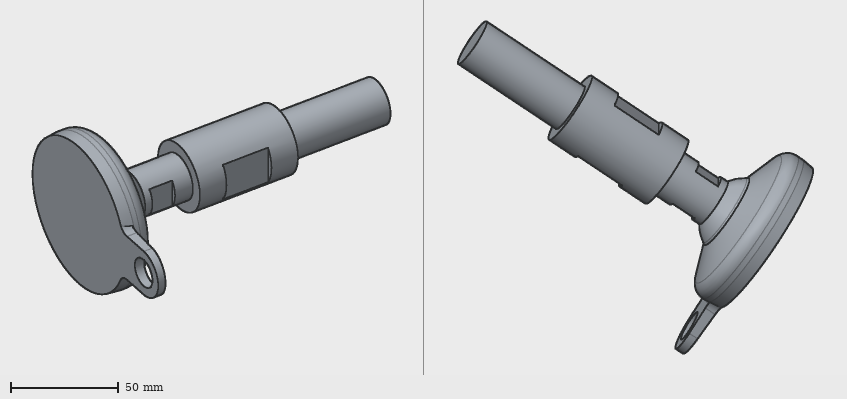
import cadquery as cq
import math

TOTAL_LENGTH = 166.5

FOOT_RADIUS = 40.0
SOLE_RADIUS = 39.3
TAPER_HEIGHT = 6.2
BAND_TOP = 9.0
SHOULDER_RADIUS = 7.0
SLOPE_ANGLE = 21.5
COLLAR_ROOT_RADIUS = 18.8

LUG_END_RADIUS = 12.5
LUG_REACH = 68.1
LUG_HOLE_DIAMETER = 15.0
LUG_ROOT_FILLET = 5.8
LUG_ROOT_HEIGHT = 5.7
LUG_TIP_HEIGHT = 4.2

STEM_DIAMETER = 24.0
COLLAR_TOP = 29.5
COLLAR_LIP_HEIGHT = 1.2
COLLAR_DOME_RADIUS = 18.0
COLLAR_BULGE = 0.5

SLEEVE_DIAMETER = 36.0
SLEEVE_START = 56.1
SLEEVE_LENGTH = 54.8

SLEEVE_FLAT_WIDTH = 30.0
SLEEVE_FLAT_LENGTH = 25.1
STEM_FLAT_WIDTH = 19.0
STEM_FLAT_START = 33.5
STEM_FLAT_LENGTH = 12.7

slope = math.radians(SLOPE_ANGLE)
shoulder_center = FOOT_RADIUS - SHOULDER_RADIUS


def shoulder_point(angle):
    """Point on the shoulder arc, with the angle measured from the outward radius."""
    return (
        shoulder_center + SHOULDER_RADIUS * math.cos(angle),
        BAND_TOP + SHOULDER_RADIUS * math.sin(angle),
    )


shoulder_sweep = math.pi / 2 - slope
shoulder_end = shoulder_point(shoulder_sweep)
collar_root_height = shoulder_end[1] + (shoulder_end[0] - COLLAR_ROOT_RADIUS) * math.tan(slope)


def make_foot_and_stem():
    stem_radius = STEM_DIAMETER / 2
    return (
        cq.Workplane("XY")
        .lineTo(SOLE_RADIUS, 0)
        .lineTo(FOOT_RADIUS, TAPER_HEIGHT)
        .lineTo(FOOT_RADIUS, BAND_TOP)
        .threePointArc(shoulder_point(shoulder_sweep / 2), shoulder_end)
        .lineTo(COLLAR_ROOT_RADIUS, collar_root_height)
        .lineTo(COLLAR_DOME_RADIUS, collar_root_height + COLLAR_LIP_HEIGHT)
        .sagittaArc((stem_radius, COLLAR_TOP), -COLLAR_BULGE)
        .lineTo(stem_radius, TOTAL_LENGTH)
        .lineTo(0, TOTAL_LENGTH)
        .close()
        .revolve(360, (0, 0, 0), (0, 1, 0))
    )


def make_lug():
    """Rounded lug with concave root fillets, thinning towards its tip."""
    eye_x = LUG_REACH - LUG_END_RADIUS
    fillet_z = LUG_END_RADIUS + LUG_ROOT_FILLET
    fillet_x = math.sqrt((SOLE_RADIUS + LUG_ROOT_FILLET) ** 2 - fillet_z ** 2)
    touch_angle = math.atan2(fillet_z, fillet_x)
    touch_x = SOLE_RADIUS * math.cos(touch_angle)
    touch_z = SOLE_RADIUS * math.sin(touch_angle)
    middle_angle = (touch_angle + math.pi / 2) / 2
    middle_x = fillet_x - LUG_ROOT_FILLET * math.cos(middle_angle)
    middle_z = fillet_z - LUG_ROOT_FILLET * math.sin(middle_angle)

    outline = (
        cq.Workplane("XZ")
        .lineTo(touch_x, touch_z)
        .threePointArc((middle_x, middle_z), (fillet_x, LUG_END_RADIUS))
        .lineTo(eye_x, LUG_END_RADIUS)
        .threePointArc((LUG_REACH, 0), (eye_x, -LUG_END_RADIUS))
        .lineTo(fillet_x, -LUG_END_RADIUS)
        .threePointArc((middle_x, -middle_z), (touch_x, -touch_z))
        .close()
        .extrude(-BAND_TOP)
    )
    thickness_rate = (LUG_ROOT_HEIGHT - LUG_TIP_HEIGHT) / (LUG_REACH - FOOT_RADIUS)
    axis_height = LUG_TIP_HEIGHT + thickness_rate * LUG_REACH
    wedge = (
        cq.Workplane("XY")
        .lineTo(LUG_REACH, 0)
        .lineTo(LUG_REACH, LUG_TIP_HEIGHT)
        .lineTo(0, axis_height)
        .close()
        .extrude(FOOT_RADIUS, both=True)
    )
    hole = (
        cq.Workplane("XZ")
        .center(eye_x, 0)
        .circle(LUG_HOLE_DIAMETER / 2)
        .extrude(-BAND_TOP)
    )
    return outline.intersect(wedge).cut(hole)


def cut_wrench_flats(body, start, length, width):
    """Cut two parallel flats, one facing each way along X."""
    size = SLEEVE_DIAMETER
    for side in (-1, 1):
        cutter = cq.Workplane("XY").box(size, length, size)
        body = body.cut(cutter.translate((side * (width + size) / 2, start + length / 2, 0)))
    return body


def make_foot():
    """Foot plate, lug, collar and stem in one piece."""
    body = make_foot_and_stem().union(make_lug())
    return cut_wrench_flats(body, STEM_FLAT_START, STEM_FLAT_LENGTH, STEM_FLAT_WIDTH)


def make_sleeve():
    """Plain tube fitting the stem, with flats midway along its length."""
    tube = (
        cq.Workplane("XZ", origin=(0, SLEEVE_START, 0))
        .circle(SLEEVE_DIAMETER / 2)
        .circle(STEM_DIAMETER / 2)
        .extrude(-SLEEVE_LENGTH)
    )
    flat_start = SLEEVE_START + (SLEEVE_LENGTH - SLEEVE_FLAT_LENGTH) / 2
    return cut_wrench_flats(tube, flat_start, SLEEVE_FLAT_LENGTH, SLEEVE_FLAT_WIDTH)


foot = make_foot()
sleeve = make_sleeve()

result = cq.Compound.makeCompound([foot.val(), sleeve.val()])